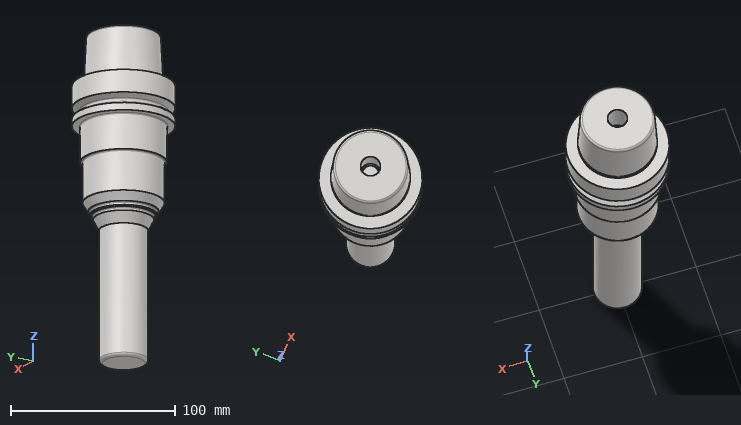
import cadquery as cq


shank_length = 32.0
taper_ratio = 1 / 9.98
gauge_diameter = 48.0
gauge_height = 6.3
taper_start = 2.0
undercut_diameter = 47.4
shank_edge_radius = 1.3

bore_diameter = 12.0
bore_depth = 20.0
bore_floor_chamfer = 1.0

flange_diameter = 63.0
flange_depth = 26.0
groove_wall_diameter = 55.0
groove_floor_diameter = 53.75
groove_top = 14.5
groove_floor_top = 16.75
groove_floor_bottom = 18.95
groove_bottom = 21.3

collar_diameter = 53.0
collar_depth = 49.3
sleeve_diameter = 50.0
sleeve_depth = 75.3

nose_cone_diameter = 43.4
nose_cone_depth = 81.0
ring_diameter = 41.0
ring_depth = 83.9
ring_chamfer = 0.8
neck_diameter = 37.2
neck_bottom = 86.0
nose_depth = 93.0

bar_diameter = 30.0
bar_end_depth = 178.0
bar_edge_radius = 2.0

shoulder_radius = 0.5
match_tolerance = 0.01


def taper_diameter(height):
    """Diameter of the shank taper at a height above the flange face."""
    return gauge_diameter - (height - gauge_height) * taper_ratio


def make_body():
    """Turn the outer shape from its half profile, given as (diameter, z) from top to bottom."""
    shank_to_groove = [
        (taper_diameter(shank_length), shank_length),
        (taper_diameter(taper_start), taper_start),
        (undercut_diameter, taper_start),
        (undercut_diameter, 0),
        (flange_diameter, 0),
        (flange_diameter, -groove_top),
        (groove_wall_diameter, -groove_floor_top),
    ]
    groove_to_bar = [
        (flange_diameter, -groove_bottom),
        (flange_diameter, -flange_depth),
        (collar_diameter, -flange_depth),
        (collar_diameter, -collar_depth),
        (sleeve_diameter, -collar_depth),
        (sleeve_diameter, -sleeve_depth),
        (nose_cone_diameter, -nose_cone_depth),
        (ring_diameter, -nose_cone_depth),
        (ring_diameter, -ring_depth + ring_chamfer),
        (ring_diameter - 2 * ring_chamfer, -ring_depth),
        (neck_diameter, -ring_depth),
        (neck_diameter, -neck_bottom),
        (bar_diameter, -nose_depth),
        (bar_diameter, -bar_end_depth),
    ]
    groove_middle = (groove_floor_top + groove_floor_bottom) / 2

    half_section = cq.Workplane("XZ").moveTo(0, shank_length)
    for diameter, z in shank_to_groove:
        half_section = half_section.lineTo(diameter / 2, z)
    half_section = half_section.threePointArc(
        (groove_floor_diameter / 2, -groove_middle),
        (groove_wall_diameter / 2, -groove_floor_bottom),
    )
    for diameter, z in groove_to_bar:
        half_section = half_section.lineTo(diameter / 2, z)
    half_section = half_section.lineTo(0, -bar_end_depth).close()
    return half_section.revolve(360, (0, 0), (0, 1))


def round_ends(body):
    """Round the top edge of the shank and the bottom edge of the bar."""
    body = body.faces(">Z").edges().fillet(shank_edge_radius)
    return body.faces("<Z").edges().fillet(bar_edge_radius)


def fillet_shoulder(body, diameter, depth):
    """Fillet the circular edge that has this diameter and lies at this depth."""
    def is_shoulder(edge):
        if edge.geomType() != "CIRCLE":
            return False
        same_size = abs(edge.radius() - diameter / 2) < match_tolerance
        same_place = abs(edge.Center().z + depth) < match_tolerance
        return same_size and same_place

    return body.edges().filter(is_shoulder).fillet(shoulder_radius)


def make_bore():
    """Bore tool: a cylinder with a chamfer around its flat floor."""
    bore = cq.Workplane("XY").workplane(offset=shank_length).circle(bore_diameter / 2).extrude(-bore_depth)
    return bore.faces("<Z").edges().chamfer(bore_floor_chamfer)


body = round_ends(make_body())
shoulders = [
    (collar_diameter, flange_depth),
    (sleeve_diameter, collar_depth),
    (ring_diameter, nose_cone_depth),
    (neck_diameter, ring_depth),
]
for shoulder_diameter, shoulder_depth in shoulders:
    body = fillet_shoulder(body, shoulder_diameter, shoulder_depth)

result = body.cut(make_bore())